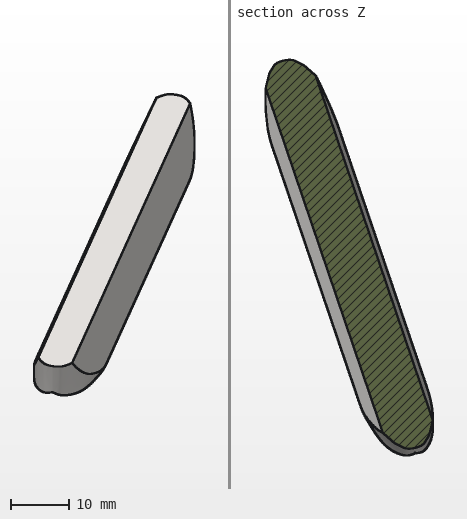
import cadquery as cq
import math

LENGTH = 80.7
BOTTOM_WIDTH = 12.0
TOP_WIDTH = 6.0
HEIGHT = 7.78
NOTCH_ANGLE = 20.0
FLANK_RADIUS = 24.0
TIP_RADIUS = 3.5

HALF_LENGTH = LENGTH / 2
HALF_BOTTOM = BOTTOM_WIDTH / 2
HALF_TOP = TOP_WIDTH / 2
NOTCH_HEIGHT = HALF_BOTTOM * math.tan(math.radians(NOTCH_ANGLE))


def profile_bar():
    """Tapered bar along Y with a V-shaped underside."""
    return (
        cq.Workplane("XZ")
        .moveTo(-HALF_BOTTOM, 0)
        .lineTo(0, NOTCH_HEIGHT)
        .lineTo(HALF_BOTTOM, 0)
        .lineTo(HALF_TOP, HEIGHT)
        .lineTo(-HALF_TOP, HEIGHT)
        .close()
        .extrude(HALF_LENGTH, both=True)
    )


def plan_outline():
    """Upright prism whose ends curve smoothly from the flanks round to the tips."""
    tip_center_y = HALF_LENGTH - TIP_RADIUS
    flank_center_x = HALF_BOTTOM - FLANK_RADIUS
    center_distance = FLANK_RADIUS - TIP_RADIUS
    straight_end_y = tip_center_y - math.sqrt(center_distance**2 - flank_center_x**2)

    join_angle = math.acos(-flank_center_x / center_distance)
    join_x = TIP_RADIUS * math.cos(join_angle)
    join_y = tip_center_y + TIP_RADIUS * math.sin(join_angle)
    flank_mid_x = flank_center_x + FLANK_RADIUS * math.cos(join_angle / 2)
    flank_mid_y = straight_end_y + FLANK_RADIUS * math.sin(join_angle / 2)
    tip_mid_angle = (join_angle + math.pi / 2) / 2
    tip_mid_x = TIP_RADIUS * math.cos(tip_mid_angle)
    tip_mid_y = tip_center_y + TIP_RADIUS * math.sin(tip_mid_angle)

    end_curve = [
        (flank_mid_x, flank_mid_y),
        (join_x, join_y),
        (tip_mid_x, tip_mid_y),
        (0, HALF_LENGTH),
    ]
    far_half = (
        cq.Workplane("XY")
        .moveTo(0, 0)
        .lineTo(HALF_BOTTOM, 0)
        .lineTo(HALF_BOTTOM, straight_end_y)
        .spline(end_curve, tangents=[(0, 1), (-1, 0)], includeCurrent=True)
        .mirrorY()
        .extrude(HEIGHT)
    )
    return far_half.union(far_half.mirror("XZ"))


result = profile_bar().intersect(plan_outline())